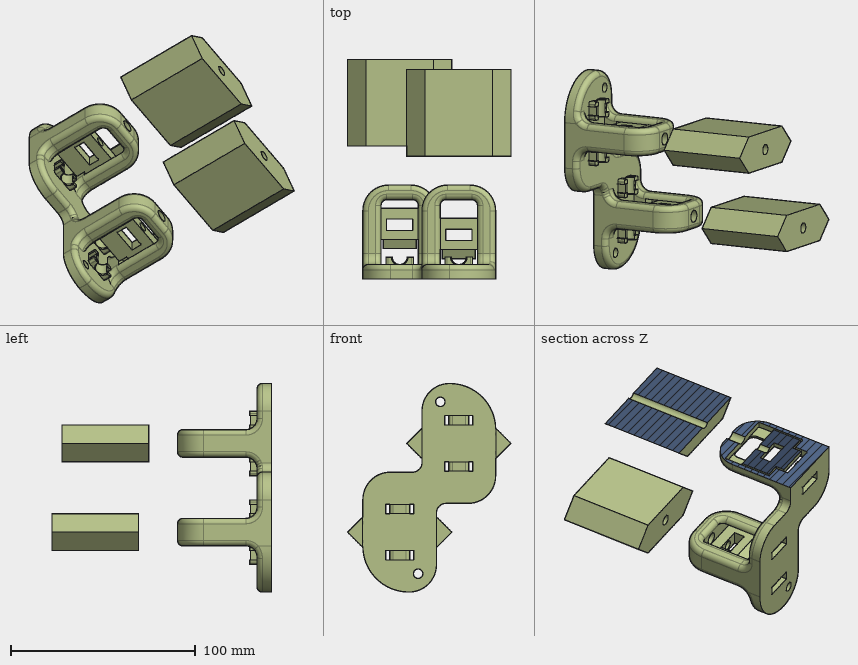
import cadquery as cq
lobe_width = 40
lobe_height = 65
lobe_shift_x = 32
lobe_shift_z = 48
plate_thickness = 8
small_corner = 15
large_corner = 24.99
inner_corner = 5
edge_round = 3
screw_hole_diameter = 5
screw_hole_inset = 10

loop_height = 15
loop_end_y = 51
loop_outer_corner = 14
loop_inner_corner = 3
loop_side_wall = 10
loop_end_wall = 8
loop_root_round = 6
loop_hole_diameter = 6.5

groove_width = 34.5
groove_height = loop_height - 2 * edge_round
groove_clearance = 0.75

saddle_width = 15
saddle_height = 10
saddle_rise = 4
saddle_corner = 1.2
saddle_radius = 4
saddle_chamfer = 0.5
saddle_offset = 12.5
tie_slot_height = 5
tie_core_width = 11
tie_core_corner = 2
tie_core_depth = 3
tie_core_recess = 0.4

slider_length = 17
slider_width = groove_width - 2 * groove_clearance
slider_height = groove_height - 2 * groove_clearance
slider_front_y = 21.5
slider_window_width = 14
slider_window_length = 6
slider_front_bar = 5
slider_hole_diameter = 5
nose_width = 18
nose_length = 5
nose_rise = 2.5
nose_tip_height = slider_height - nose_rise

block_width = 56.5
block_height = 20
block_length = 47
block_front_y = 72
block_hole_diameter = 5.5

stagger = 5.5

lobe_origins = [(0, 0), (lobe_shift_x, lobe_shift_z)]
lobe_centers = [(x + lobe_width / 2, z + lobe_height / 2) for x, z in lobe_origins]
saddle_back_y = plate_thickness + saddle_rise
opening_width = lobe_width - 2 * loop_side_wall
opening_end_y = loop_end_y - loop_end_wall
groove_start_y = slider_front_y - stagger - groove_clearance


def box(x, z, width, height, y_start, y_end):
    """Box centred on (x, z), running along Y from y_start to y_end."""
    middle = cq.Workplane("XY", origin=(x, (y_start + y_end) / 2, z))
    return middle.box(width, y_end - y_start, height)


def rod(x, z, diameter, y_start, y_end):
    """Cylinder along Y centred on (x, z)."""
    return cq.Workplane("XZ", origin=(x, y_start, z)).circle(diameter / 2).extrude(y_start - y_end)




def plate():
    """Two overlapping lobes with tangent corner arcs, each with one large corner at its outer end."""
    right = lobe_shift_x + lobe_width
    top = lobe_shift_z + lobe_height
    return (
        cq.Workplane("XZ")
        .moveTo(large_corner, 0)
        .lineTo(lobe_width - small_corner, 0)
        .radiusArc((lobe_width, small_corner), -small_corner)
        .lineTo(lobe_width, lobe_shift_z - inner_corner)
        .radiusArc((lobe_width + inner_corner, lobe_shift_z), inner_corner)
        .lineTo(right - small_corner, lobe_shift_z)
        .radiusArc((right, lobe_shift_z + small_corner), -small_corner)
        .lineTo(right, top - large_corner)
        .radiusArc((right - large_corner, top), -large_corner)
        .lineTo(lobe_shift_x + small_corner, top)
        .radiusArc((lobe_shift_x, top - small_corner), -small_corner)
        .lineTo(lobe_shift_x, lobe_height + inner_corner)
        .radiusArc((lobe_shift_x - inner_corner, lobe_height), inner_corner)
        .lineTo(small_corner, lobe_height)
        .radiusArc((0, lobe_height - small_corner), -small_corner)
        .lineTo(0, large_corner)
        .radiusArc((large_corner, 0), -large_corner)
        .close()
        .extrude(-plate_thickness)
    )


def loop_blank(x, z):
    """Loop without its opening, rooted in the plate."""
    blank = box(x, z, lobe_width, loop_height, 0, loop_end_y)
    return blank.edges("|Z and >Y").fillet(loop_outer_corner)


def loop_opening(x, z):
    """Cutter for the opening of a loop, flared so that it leaves rounded rims and rounded rim roots."""
    root_z = loop_height / 2 + loop_root_round
    root_y = plate_thickness + loop_root_round
    flank = loop_height / 2
    frame = (
        cq.Workplane("YZ", origin=(x - lobe_width / 2, 0, z))
        .moveTo(0, -lobe_height / 2)
        .lineTo(plate_thickness, -lobe_height / 2)
        .lineTo(plate_thickness, -root_z)
        .radiusArc((root_y, -flank), loop_root_round)
        .lineTo(loop_end_y, -flank)
        .lineTo(loop_end_y, flank)
        .lineTo(root_y, flank)
        .radiusArc((plate_thickness, root_z), loop_root_round)
        .lineTo(plate_thickness, lobe_height / 2)
        .lineTo(0, lobe_height / 2)
        .close()
        .extrude(lobe_width)
    )
    passage = box(x, z, opening_width, 2 * lobe_height, -plate_thickness, opening_end_y)
    frame = frame.cut(passage.edges("|Z and >Y").fillet(loop_inner_corner))
    rim_ends = cq.selectors.BoxSelector(
        (x - opening_width / 2, opening_end_y - edge_round / 2, z - loop_height),
        (x + opening_width / 2, opening_end_y + edge_round / 2, z + loop_height),
    )
    frame = frame.edges(rim_ends).edges("|X").fillet(edge_round)
    mouth_width = opening_width + 2 * edge_round
    mouth_end_y = opening_end_y + edge_round
    return box(x, z, mouth_width, 2 * root_z, plate_thickness, mouth_end_y).cut(frame)


def saddle(x, z):
    """Block on the back of the plate with a trough along Z for a cable."""
    block = box(x, z, saddle_width, saddle_height, plate_thickness, saddle_back_y)
    block = block.edges("|Y").fillet(saddle_corner)
    trough = (
        cq.Workplane("XY", origin=(x, saddle_back_y, z - saddle_height / 2))
        .circle(saddle_radius)
        .extrude(saddle_height)
    )
    block = block.cut(trough)
    for side in (-1, 1):
        end = cq.Workplane("XY", origin=(x, saddle_back_y, z + side * saddle_height / 2))
        rim = (
            end.circle(saddle_radius + saddle_chamfer)
            .workplane(offset=-side * saddle_chamfer)
            .circle(saddle_radius)
            .loft()
        )
        block = block.cut(rim)
    return block


def tie_slot(x, z):
    """Cutter for a cable tie: a recess in the plate front that runs back on both sides of a rounded core."""
    slot = box(x, z, saddle_width, tie_slot_height, 0, saddle_back_y)
    core_back_y = saddle_back_y - tie_core_recess
    core = box(x, z, tie_core_width, tie_slot_height, tie_core_depth, core_back_y)
    return slot.cut(core.edges("|Z and <Y").fillet(tie_core_corner))


def make_bracket():
    body = plate()
    for x, z in lobe_centers:
        body = body.union(loop_blank(x, z))

    for x, z in lobe_centers:
        root_edges = cq.selectors.BoxSelector(
            (x - 1, plate_thickness - 1, z - loop_height),
            (x + 1, plate_thickness + 1, z + loop_height),
        )
        body = body.edges(root_edges).edges("|X").fillet(loop_root_round)

    body = body.edges("|X and >Y").fillet(edge_round)

    for x, z in lobe_centers:
        body = body.cut(loop_opening(x, z))
        body = body.cut(box(x, z, groove_width, groove_height, groove_start_y, opening_end_y))
        body = body.cut(rod(x, z, loop_hole_diameter, opening_end_y, loop_end_y))

    for x, z in lobe_centers:
        for side in (-1, 1):
            saddle_z = z + side * saddle_offset
            body = body.union(saddle(x, saddle_z))
            body = body.cut(tie_slot(x, saddle_z))

    screw_holes = [
        (lobe_width - screw_hole_inset, screw_hole_inset),
        (lobe_shift_x + screw_hole_inset, lobe_shift_z + lobe_height - screw_hole_inset),
    ]
    for x, z in screw_holes:
        body = body.cut(rod(x, z, screw_hole_diameter, 0, plate_thickness))
    return body




def make_slider(x, z, shift_y):
    """Frame that slides along Y in a loop, with a sloped nose and a bolt hole behind its window."""
    front_y = slider_front_y + shift_y
    back_y = front_y + slider_length
    window_front_y = front_y + slider_front_bar
    window_back_y = window_front_y + slider_window_length
    frame = box(x, z, slider_width, slider_height, front_y, back_y)
    frame = frame.cut(box(x, z, slider_window_width, slider_height, window_front_y, window_back_y))
    frame = frame.cut(rod(x, z, slider_hole_diameter, window_back_y, back_y))
    nose = (
        cq.Workplane("YZ", origin=(x - nose_width / 2, front_y, z - slider_height / 2))
        .polyline([(0, 0), (-nose_length, 0), (-nose_length, nose_tip_height), (0, slider_height)])
        .close()
        .extrude(nose_width)
    )
    return frame.union(nose)


def make_block(x, z, shift_y):
    """Hexagonal prism along Y with 45 degree flanks and a bolt hole along its axis."""
    tip = block_width / 2
    half_height = block_height / 2
    shoulder = tip - half_height
    front_y = block_front_y + shift_y
    outline = [
        (-tip, 0),
        (-shoulder, -half_height),
        (shoulder, -half_height),
        (tip, 0),
        (shoulder, half_height),
        (-shoulder, half_height),
    ]
    block = cq.Workplane("XZ", origin=(x, front_y, z)).polyline(outline).close().extrude(-block_length)
    return block.cut(rod(x, z, block_hole_diameter, front_y, front_y + block_length))


bracket = make_bracket()
sliders = []
blocks = []
for level, (x, z) in enumerate(lobe_centers):
    shift_y = -level * stagger
    sliders.append(make_slider(x, z, shift_y).val())
    blocks.append(make_block(x, z, shift_y).val())

result = cq.Compound.makeCompound([bracket.val(), *sliders, *blocks])